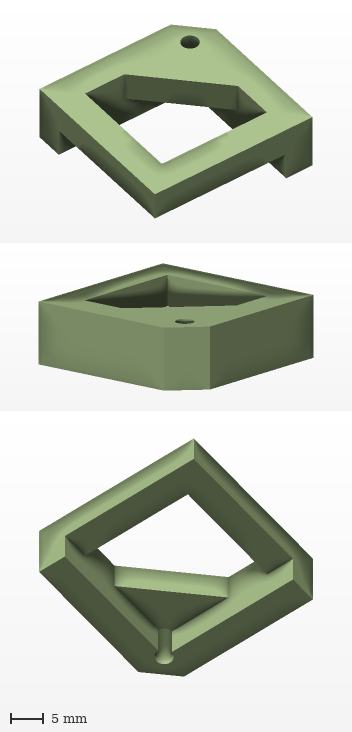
import cadquery as cq

side = 30.0
wall = side / 6
height = 2 * wall
plate_thickness = wall
window_chamfer = 2.5 * wall
hole_diameter = 3.0

window_end = side - wall


def make_body():
    """Block with its back-left corner chamfered, undercut to leave a plate on two walls."""
    block = (
        cq.Workplane("XY")
        .polyline([(0, 0), (side, 0), (side, side), (wall, side), (0, side - wall)])
        .close()
        .extrude(height)
    )
    undercut = cq.Workplane("XY").box(
        side - wall, side - wall, height - plate_thickness, centered=False
    ).translate((wall, 0, 0))
    return block.cut(undercut)


def make_window():
    """Window through the plate, with one corner cut diagonally."""
    return (
        cq.Workplane("XY")
        .moveTo(wall, wall)
        .lineTo(window_end, wall)
        .lineTo(window_end, window_end)
        .lineTo(wall + window_chamfer, window_end)
        .lineTo(wall, window_end - window_chamfer)
        .close()
        .extrude(height)
    )


def make_hole():
    """Vertical through hole centred on the inner corner of the two walls."""
    return (
        cq.Workplane("XY")
        .center(wall, side - wall)
        .circle(hole_diameter / 2)
        .extrude(height)
    )


result = make_body().cut(make_window()).cut(make_hole())